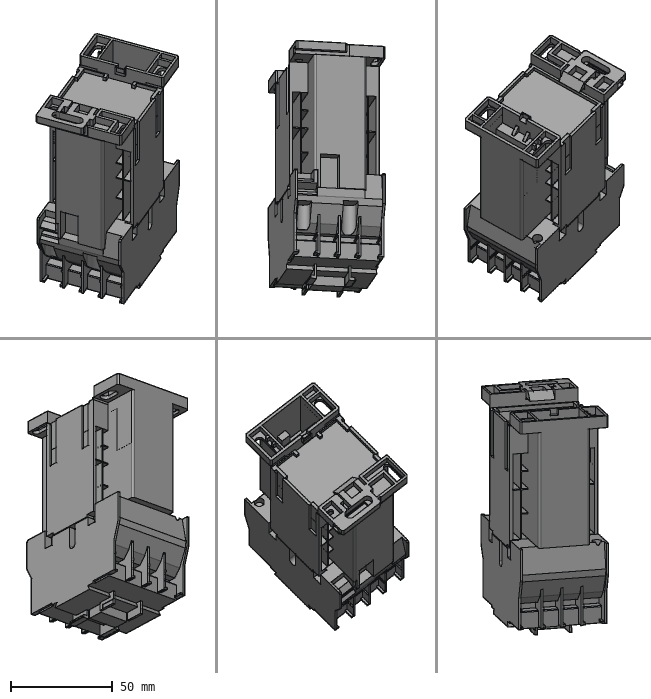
import cadquery as cq

HEIGHT = 114.8
WIDTH = 45.0
HALF_W = WIDTH / 2
REAR_Y = 35.4
FRONT_Y = -REAR_Y
LIP_Y = -37.3
WALL = 1.6
INNER_X = HALF_W - WALL
LOWER_WALL = 1.1
LOWER_INNER_X = HALF_W - LOWER_WALL

COIL_REAR_Y = 16.2
COIL_FRONT_Y = -19.9
COIL_TOP = 108.0
COIL_FLOOR = 105.9
COIL_BASE = 46.5
KEEL_BASE = 45.3
KEEL_REAR_Y = 11.4
KEEL_FRONT_Y = -14.9
FLANGE_BASE = 108.9
LIP_BASE = 110.7
FLANGE_REAR_INNER_Y = 15.7
FLANGE_FRONT_INNER_Y = -19.1
FLANGE_FRONT_Y = -35.1
FLANGE_LEFT_FRONT_Y = -34.7
FLANGE_STEP_X = 4.6
HOOK_TIP_Y = -15.7
HOOK_TOP_Y = -19.8
HOOK_LEFT_X = -9.8
HOOK_RIGHT_X = 3.0
COLUMN_HALF_W = 13.1
COLUMN_ROUND = 1.1
POCKET_FLOOR = 110.8
CORNER_BREAK = 0.9

SHOULDER = 50.0
SIDE_TOP = 44.8
LOWER_BASE = 8.4
FOOT_BASE = 7.4
DOVETAIL_BASE = 4.8
FIN_TOP = 28.0
FIN_Y = 31.8
LEDGE_TOP = 41.1
LEDGE_BASE = 36.8
LEDGE_Y = 34.5
LEDGE_ROOT_Y = -28.7
SEAT_LEFT_X = -11.3
CARRIER_HALF_W = 8.2
FIN_THICKNESS = 1.0
FIN_CENTRES = (-10.0, 0.2, 10.5)


def box(x0, x1, y0, y1, z0, z1):
    """Axis-aligned block between two opposite corners."""
    return cq.Workplane("XY").box(x1 - x0, y1 - y0, z1 - z0, centered=False).translate((x0, y0, z0))


def side_profile(points, x0, x1):
    """Solid from an outline of (y, z) points, extruded along X from x0 to x1."""
    return cq.Workplane("YZ").polyline(points).close().extrude(x1 - x0).translate((x0, 0, 0))


def slot(x, y, length, width, z0, z1, angle=0):
    """Vertical round-ended slot."""
    return cq.Workplane("XY", origin=(x, y, z0)).slot2D(length, width, angle).extrude(z1 - z0)


def column(y0, y1, x_left, z0, z1, rounded_edges):
    """Upright column whose selected vertical edges are rounded."""
    return box(x_left, COLUMN_HALF_W, y0, y1, z0, z1).edges(rounded_edges).fillet(COLUMN_ROUND)


def coil_envelope():
    """Middle block with the shallow keel that enters the lower housing."""
    block = box(-HALF_W, HALF_W, COIL_FRONT_Y, COIL_REAR_Y, COIL_BASE, COIL_TOP)
    return block.union(box(-HALF_W, HALF_W, KEEL_FRONT_Y, KEEL_REAR_Y, KEEL_BASE, COIL_BASE))


def column_envelope():
    """Front and rear columns; the front one stands on the ledge of the lower housing."""
    rear = column(COIL_REAR_Y, REAR_Y, -COLUMN_HALF_W, SHOULDER, FLANGE_BASE, "|Z and >Y")
    front = column(FRONT_Y, COIL_FRONT_Y, -COLUMN_HALF_W, SHOULDER, FLANGE_BASE, "|Z and <Y")
    front_foot = column(FRONT_Y, COIL_FRONT_Y, SEAT_LEFT_X, LEDGE_TOP, SHOULDER, "|Z and <Y and >X")
    return rear.union(front).union(front_foot)


def end_panels():
    """Thin strips that close the coil block up to the flanges, flush with the flange inner faces."""
    rear = box(-HALF_W, HALF_W, FLANGE_REAR_INNER_Y, COIL_REAR_Y, COIL_TOP, FLANGE_BASE)
    return rear.union(box(-HALF_W, HALF_W, COIL_FRONT_Y, FLANGE_FRONT_INNER_Y, COIL_TOP, FLANGE_BASE))


def deck_recess():
    """Recess in the top of the coil block; the rim is thicker at the corners."""
    corner_x = 19.6
    wide_x = 21.0
    recess = box(-corner_x, corner_x, -17.8, 15.0, COIL_FLOOR, COIL_TOP)
    recess = recess.union(box(-wide_x, wide_x, -12.2, 7.0, COIL_FLOOR, COIL_TOP))
    return recess.union(box(-6.9, 6.9, 0, FLANGE_REAR_INNER_Y, COIL_FLOOR, COIL_TOP))


def rim_hooks():
    """Two small posts at the rear rim."""
    post = box(6.9, 8.6, 12.9, 15.2, COIL_FLOOR, COIL_TOP)
    return post.union(post.mirror("YZ"))


def side_grooves():
    """Vertical grooves in both sides of the coil block, flared at the top."""
    depth = 1.1
    base = 84.1
    flare = 1.0
    rear_edge, rear_inner = 12.3, 7.4
    front_edge, front_inner = -17.5, -12.5
    rear = [(rear_inner, base), (rear_edge, base), (rear_edge, COIL_TOP - flare),
            (rear_edge + flare, COIL_TOP), (rear_inner, COIL_TOP)]
    front = [(front_inner, base), (front_edge, base), (front_edge, COIL_TOP - flare),
             (front_edge - flare, COIL_TOP), (front_inner, COIL_TOP)]
    left = side_profile(rear, -HALF_W, depth - HALF_W).union(side_profile(front, -HALF_W, depth - HALF_W))
    return left.union(left.mirror("YZ"))


def vent_channels():
    """Channels along Y on both sides of the columns, divided by thin ribs."""
    rib = 0.6
    rib_x = 16.8
    top = 93.6
    outer_levels = (SHOULDER, 75.3, top)
    inner_levels = (SHOULDER, 62.9, 75.3, 84.5, top)
    rows = ((rib_x + rib / 2, INNER_X, outer_levels), (COLUMN_HALF_W, rib_x - rib / 2, inner_levels))
    cells = cq.Workplane("XY")
    for x0, x1, levels in rows:
        for low, high in zip(levels, levels[1:]):
            z0 = low if low == SHOULDER else low + rib / 2
            z1 = high if high == top else high - rib / 2
            cells = cells.add(box(x0, x1, COIL_FRONT_Y, COIL_REAR_Y, z0, z1))
            cells = cells.add(box(-x1, -x0, COIL_FRONT_Y, COIL_REAR_Y, z0, z1))
    return cells.combine()


def rear_flange():
    """Rear mounting flange with its notched latch tab."""
    flange = box(-HALF_W, HALF_W, FLANGE_REAR_INNER_Y, REAR_Y, FLANGE_BASE, HEIGHT)
    flange = flange.edges("|Z").chamfer(CORNER_BREAK)
    tab_half_w = 2.6
    tab = box(-tab_half_w, tab_half_w, 14.1, FLANGE_REAR_INNER_Y, LIP_BASE, HEIGHT)
    tab_notch_half_w = 2.1
    tab_notch = box(-tab_notch_half_w, tab_notch_half_w, 14.6, 17.3, 112.0, HEIGHT)
    return flange.union(tab).cut(tab_notch)


def rear_flange_cuts():
    """Three shallow pockets, two screw slots and the deep central well."""
    near, far = 17.3, 33.8
    cuts = box(-21.0, -13.8, near, far, POCKET_FLOOR, HEIGHT)
    for rib_y in (22.0, 26.6):
        cuts = cuts.cut(box(-15.4, -13.8, rib_y, rib_y + 1.4, POCKET_FLOOR, 114.3))
    cuts = cuts.union(box(13.8, 21.1, 30.2, far, POCKET_FLOOR, HEIGHT))
    cuts = cuts.union(box(13.8, 21.1, near, 28.9, POCKET_FLOOR, HEIGHT))
    cuts = cuts.union(slot(-18.1, 24.9, 13.7, 4.9, FLANGE_BASE, POCKET_FLOOR, 90))
    cuts = cuts.union(slot(18.0, 23.0, 10.7, 5.4, FLANGE_BASE, POCKET_FLOOR, 90))
    well_half_w = 12.5
    well_floor = 80.4
    pad_top = 91.9
    shelf_y = 22.5
    shelf_top = 103.4
    well = box(-well_half_w, well_half_w, near, far, shelf_top, HEIGHT)
    well = well.union(box(-well_half_w, well_half_w, shelf_y, far, well_floor, HEIGHT))
    pad_half_w = 2.6
    well = well.cut(box(-pad_half_w, pad_half_w, 30.2, far, well_floor, pad_top))
    rib_length = 3.7
    rib_outline = [(near, shelf_top), (near + rib_length, shelf_top), (near, shelf_top + rib_length)]
    ribs = side_profile(rib_outline, 2.5, 4.2)
    return cuts.union(well.cut(ribs).cut(ribs.mirror("YZ")))


def front_flange():
    """Front mounting flange: lower frame, projecting lip on the left and hook wedge."""
    flange = box(-HALF_W, HALF_W, FLANGE_LEFT_FRONT_Y, FLANGE_FRONT_INNER_Y, FLANGE_BASE, HEIGHT)
    right_part = box(FLANGE_STEP_X, HALF_W, FLANGE_FRONT_Y, FLANGE_FRONT_INNER_Y, FLANGE_BASE, HEIGHT)
    flange = flange.cut(right_part).union(right_part.edges("|Z and >X and <Y").chamfer(CORNER_BREAK))
    lip = box(-HALF_W, HOOK_RIGHT_X, LIP_Y, FLANGE_LEFT_FRONT_Y, LIP_BASE, HEIGHT)
    lip = lip.edges("|Z and <Y").chamfer(CORNER_BREAK)
    hook = box(HOOK_LEFT_X, HOOK_RIGHT_X, FLANGE_FRONT_INNER_Y, HOOK_TIP_Y, LIP_BASE, HEIGHT)
    hook_slope = side_profile([(HOOK_TIP_Y, LIP_BASE), (HOOK_TIP_Y, HEIGHT), (HOOK_TOP_Y, HEIGHT)],
                              HOOK_LEFT_X, HOOK_RIGHT_X)
    return flange.union(lip).union(hook).cut(hook_slope)


def front_flange_cuts():
    """Pockets, screw slots and side passage of the front flange."""
    inner = -20.6
    front = -33.8
    notch_end = -24.6
    cuts = box(-21.0, -14.9, -28.9, inner, POCKET_FLOOR, HEIGHT)
    cuts = cuts.union(slot(-18.5, -23.4, 3.7, 2.5, FLANGE_BASE, POCKET_FLOOR))
    cuts = cuts.union(box(-10.6, HOOK_LEFT_X, notch_end, FLANGE_FRONT_INNER_Y, POCKET_FLOOR, HEIGHT))
    cuts = cuts.union(box(-12.6, HOOK_LEFT_X, -28.9, notch_end, POCKET_FLOOR, HEIGHT))
    cuts = cuts.union(box(HOOK_RIGHT_X, 4.2, notch_end, FLANGE_FRONT_INNER_Y, POCKET_FLOOR, HEIGHT))
    cuts = cuts.union(box(-6.7, 0.2, -26.2, HOOK_TOP_Y, POCKET_FLOOR, HEIGHT))
    cuts = cuts.union(box(5.7, 21.4, -24.2, inner, POCKET_FLOOR, HEIGHT))
    cuts = cuts.union(box(16.2, 21.4, front, -24.2, POCKET_FLOOR, HEIGHT))
    cuts = cuts.union(slot(19.3, -27.3, 12.3, 3.7, FLANGE_BASE, POCKET_FLOOR, 90))
    tab = box(HOOK_RIGHT_X, 4.7, -28.9, -25.7, POCKET_FLOOR, HEIGHT)
    cuts = cuts.union(box(HOOK_RIGHT_X, 14.6, front, -25.7, POCKET_FLOOR, HEIGHT).cut(tab))
    cuts = cuts.union(slot(-7.5, -32.2, 16.2, 4.9, POCKET_FLOOR, HEIGHT))
    return cuts.union(box(-HALF_W, -1.7, -34.0, -30.2, 109.6, 112.8))


def make_upper_housing():
    """Coil block, columns and mounting flanges in one piece."""
    housing = coil_envelope().cut(deck_recess()).union(rim_hooks())
    housing = housing.cut(side_grooves()).cut(vent_channels())
    housing = housing.union(column_envelope()).union(end_panels())
    housing = housing.union(rear_flange()).union(front_flange())
    housing = housing.cut(rear_flange_cuts()).cut(front_flange_cuts())
    notch_depth = 5.7
    column_notch = box(-9.9, -0.5, FRONT_Y, FRONT_Y + notch_depth, LEDGE_TOP, 58.0)
    return housing.cut(column_notch)


def side_walls():
    """Two outer walls with the full stepped outline."""
    corner = 0.9
    foot_y = 16.1
    rear_wall_y = 32.2
    taper_top = 34.5
    outline = [(FRONT_Y + corner, SHOULDER), (FRONT_Y, SHOULDER - corner), (FRONT_Y, taper_top),
               (-FIN_Y, FIN_TOP), (-FIN_Y, LOWER_BASE), (-foot_y, LOWER_BASE), (-foot_y, FOOT_BASE),
               (foot_y, FOOT_BASE), (foot_y, LOWER_BASE), (rear_wall_y, LOWER_BASE), (rear_wall_y, 24.5),
               (REAR_Y, taper_top), (REAR_Y, SHOULDER)]
    wall = side_profile(outline, -HALF_W, -LOWER_INNER_X)
    return wall.union(wall.mirror("YZ"))


def half_core():
    """Front half of the block between the walls: shoulder, overhang and terminal blocks."""
    bay_back_y = -21.8
    bay_top = 20.0
    terminal_y = -27.0
    terminal_top = 16.1
    bevel = 0.5
    outline = [(0, SHOULDER), (-31.6, SHOULDER), (-LEDGE_Y, LEDGE_BASE), (-34.0, 33.2), (-29.6, 24.0),
               (-25.8, bay_top), (bay_back_y, bay_top), (bay_back_y, terminal_top),
               (terminal_y + bevel, terminal_top), (terminal_y, terminal_top - bevel),
               (terminal_y, FOOT_BASE), (0, FOOT_BASE)]
    return side_profile(outline, -LOWER_INNER_X, LOWER_INNER_X)


def terminal_fins():
    """Fins between the terminals; each fin and the right wall carry a foot and a snap ridge."""
    foot_width = 1.3
    foot_base = 8.0
    foot_top = 9.3
    root_y = -20.7
    ridge_radius = 0.6
    ridge_z = 18.3
    fins = box(-LOWER_INNER_X, foot_width - LOWER_INNER_X, -FIN_Y, root_y, LOWER_BASE, foot_top)
    left_faces = [centre - FIN_THICKNESS / 2 for centre in FIN_CENTRES]
    for left in left_faces:
        fins = fins.union(box(left, left + FIN_THICKNESS, -FIN_Y, root_y, foot_base, FIN_TOP))
    for left in left_faces + [LOWER_INNER_X]:
        fins = fins.union(box(left - foot_width, left, -FIN_Y, root_y, LOWER_BASE, foot_top))
        ridge = cq.Workplane("XZ", origin=(left, root_y, ridge_z)).circle(ridge_radius)
        fins = fins.union(ridge.extrude(FIN_Y + root_y))
    return fins


def front_ledge():
    """Ledge that carries the front column."""
    return box(SEAT_LEFT_X, 12.5, -LEDGE_Y, LEDGE_ROOT_Y, LEDGE_BASE, LEDGE_TOP)


def left_terminal_block():
    """Upright block at the left front with a stepped top and an undercut wire opening."""
    left = -LOWER_INNER_X
    right = SEAT_LEFT_X
    face_y = -34.2
    block = box(left, right, face_y, LEDGE_ROOT_Y, LEDGE_BASE, SHOULDER)
    step_y = -27.6
    step_z = 46.0
    slope_end_z = 44.1
    step = side_profile([(step_y, SHOULDER), (step_y, step_z), (-31.2, step_z), (face_y, slope_end_z),
                         (LIP_Y, slope_end_z), (LIP_Y, SHOULDER)], left, -COLUMN_HALF_W)
    mouth_top = 43.3
    back_y = -29.9
    sill_y = -32.7
    sill_z = 39.0
    opening = side_profile([(LIP_Y, mouth_top), (face_y, mouth_top), (back_y, LEDGE_TOP), (back_y, sill_z),
                            (sill_y, sill_z), (sill_y, sill_z - 1.1), (-LEDGE_Y, LEDGE_BASE),
                            (LIP_Y, LEDGE_BASE)], left, right)
    return block, step.union(opening)


def access_bore(x, radius, top, base):
    """Vertical U-shaped screwdriver channel, open to the front and closed at the top."""
    rear_centre = -29.4
    bore = cq.Workplane("XY", origin=(x, rear_centre, base)).circle(radius).extrude(top - base)
    return bore.union(box(x - radius, x + radius, LIP_Y, rear_centre, base, top))


def side_wall_cuts():
    """Notches beside the coil block and round-ended central slots, on both sides."""
    depth = 4.0
    slot_radius = 2.2
    slot_base = 32.4
    notch_base = 40.2
    inner = depth - HALF_W
    cuts = box(-HALF_W, inner, 12.2, 17.5, notch_base, SHOULDER)
    cuts = cuts.union(box(-HALF_W, inner, -21.0, -15.8, notch_base, SHOULDER))
    cuts = cuts.union(box(-HALF_W, inner, -15.8, 12.2, SIDE_TOP, SHOULDER))
    centre_z = slot_base + slot_radius
    cuts = cuts.union(box(-HALF_W, inner, -slot_radius, slot_radius, centre_z, SIDE_TOP))
    end = cq.Workplane("YZ", origin=(-HALF_W, 0, centre_z)).circle(slot_radius).extrude(depth)
    cuts = cuts.union(end)
    return cuts.union(cuts.mirror("YZ"))


def dovetail():
    """Full-width dovetail bar under the housing."""
    return side_profile([(-12.1, FOOT_BASE), (12.1, FOOT_BASE), (13.2, DOVETAIL_BASE),
                         (-13.2, DOVETAIL_BASE)], -HALF_W, HALF_W)


def dock_rails():
    """Two pairs of rails for clip-on accessories, in front of and behind the carrier."""
    inner_x, outer_x = CARRIER_HALF_W, 9.2
    front_y0, front_y1 = -15.8, -4.9
    rail = box(inner_x, outer_x, front_y0, front_y1, 0, FOOT_BASE)
    lip_thickness = 0.5
    rail = rail.union(box(inner_x, 11.0, front_y0, front_y1, lip_thickness, 1.6))
    rail = rail.union(box(inner_x, 11.5, front_y0, front_y1, 0, lip_thickness))
    rear_y1 = 15.5
    rear_base = lip_thickness
    rail = rail.union(box(inner_x, outer_x, 5.3, rear_y1, rear_base, FOOT_BASE))
    rail = rail.union(box(outer_x, 9.4, 7.4, rear_y1, rear_base, 2.8))
    return rail.union(rail.mirror("YZ"))


def make_lower_housing():
    """Terminal housing with the seat for the upper housing."""
    block, block_cuts = left_terminal_block()
    front_core = half_core().union(front_ledge()).union(block).cut(block_cuts)
    front_core = front_core.cut(access_bore(x=5.4, radius=3.7, top=35.1, base=20.1))
    front_core = front_core.cut(access_bore(x=-17.5, radius=3.3, top=34.0, base=21.2))
    fins = terminal_fins()
    housing = side_walls().union(front_core).union(half_core().mirror("XZ"))
    housing = housing.union(fins).union(fins.mirror("XZ"))
    housing = housing.union(dovetail()).union(dock_rails())
    housing = housing.cut(side_wall_cuts())
    screw_radius = 2.4
    screw_depth = 4.6
    screw_bore = cq.Workplane("XY", origin=(-18.1, 29.5, SHOULDER)).circle(screw_radius).extrude(-screw_depth)
    housing = housing.cut(screw_bore)
    return housing.cut(coil_envelope()).cut(column_envelope())


def make_carrier():
    """Contact carrier block between the two pairs of dock rails."""
    return box(-CARRIER_HALF_W, CARRIER_HALF_W, -4.1, 4.7, 0, DOVETAIL_BASE)


upper_housing = make_upper_housing()
lower_housing = make_lower_housing()
carrier = make_carrier()

result = cq.Compound.makeCompound([
    upper_housing.solids().val(),
    lower_housing.solids().val(),
    carrier.solids().val(),
])